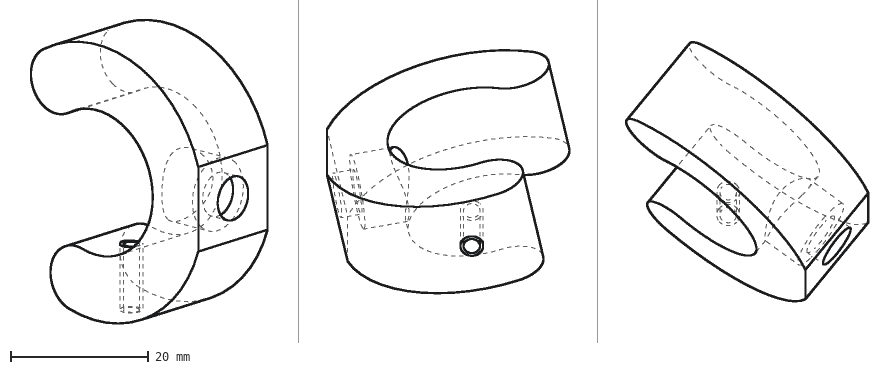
import cadquery as cq
import math

outer_radius = 21.0
bore_radius = 11.0
width = 15.0
flat_x = 20.0
upper_tip_angle = 120
lower_tip_angle = 255
lower_arc_angle = 300

bolt_hole_diameter = 6.6
bolt_head_diameter = 11.0
bolt_seat_x = 17.0

pin_hole_diameter = 3.3
pin_diameter = 2.4

mid_radius = (outer_radius + bore_radius) / 2
tip_radius = (outer_radius - bore_radius) / 2
flat_half_height = math.sqrt(outer_radius**2 - flat_x**2)


def polar(radius, angle):
    """Point in the XZ plane at a distance and an angle in degrees from the hook's centre."""
    turn = math.radians(angle)
    return radius * math.cos(turn), radius * math.sin(turn)


def tip_end(angle, turn):
    """Outermost point of a rounded tip, beyond its centre in the direction of turn (+1 or -1)."""
    x, z = polar(mid_radius, angle)
    dx, dz = polar(tip_radius, angle + turn * 90)
    return x + dx, z + dz


def hook_blank():
    """C-shaped plate with two rounded tips and a flat on its back."""
    outline = (
        cq.Workplane("XZ", origin=(0, width / 2, 0))
        .moveTo(flat_x, -flat_half_height)
        .lineTo(flat_x, flat_half_height)
        .threePointArc((0, outer_radius), polar(outer_radius, upper_tip_angle))
        .threePointArc(tip_end(upper_tip_angle, 1), polar(bore_radius, upper_tip_angle))
        .threePointArc((bore_radius, 0), polar(bore_radius, lower_tip_angle))
        .threePointArc(tip_end(lower_tip_angle, -1), polar(outer_radius, lower_tip_angle))
        .threePointArc(polar(outer_radius, lower_arc_angle), (flat_x, -flat_half_height))
        .close()
    )
    return outline.extrude(width)


def bolt_hole():
    """Stepped hole along X through the back, with its wide part open to the bore."""
    clearance = cq.Workplane("YZ").circle(bolt_hole_diameter / 2).extrude(flat_x)
    head_recess = cq.Workplane("YZ").circle(bolt_head_diameter / 2).extrude(bolt_seat_x)
    return clearance.union(head_recess)


def pin_hole():
    """Vertical hole through the lower arm, from the centre of the bore downward."""
    return cq.Workplane("XY").circle(pin_hole_diameter / 2).extrude(-outer_radius)


def make_pin():
    """Straight pin standing loose in the lower arm, from the bore to the bottom of the hook."""
    length = outer_radius - bore_radius
    return cq.Workplane("XY", origin=(0, 0, -outer_radius)).circle(pin_diameter / 2).extrude(length)


hook = hook_blank().cut(bolt_hole()).cut(pin_hole())
pin = make_pin()

result = cq.Compound.makeCompound([hook.val(), pin.val()])